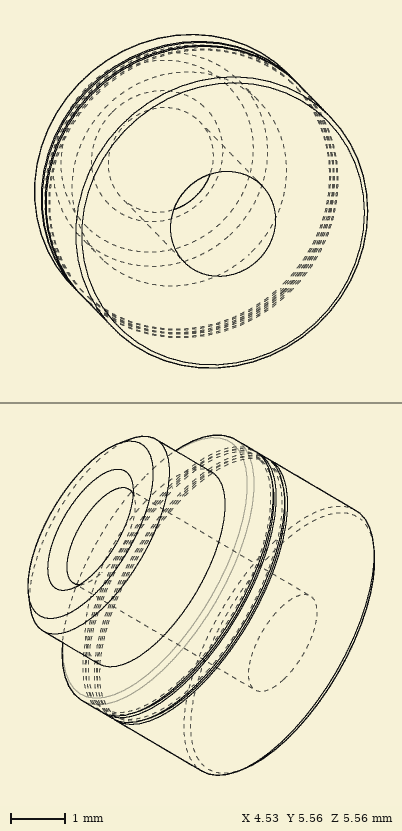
import cadquery as cq

total_length = 4.53
body_diameter = 5.56
spigot_diameter = 4.085
spigot_length = 1.525
spigot_chamfer = 0.21
front_edge_radius = 0.09
rear_edge_chamfer = 0.09

bore_diameter = 2.0
bore_mouth_diameter = 2.5
bore_mouth_depth = (bore_mouth_diameter - bore_diameter) / 2

groove_width = 0.07
groove_depth = 0.065
first_groove_offset = 0.54
groove_pitch = 0.265
groove_count = 2

body_length = total_length - spigot_length
front_x = -total_length / 2
body_front_x = front_x + spigot_length


def cylinder(start_x, length, diameter):
    """Solid cylinder along +X, starting at start_x."""
    return cq.Workplane("YZ", origin=(start_x, 0, 0)).circle(diameter / 2).extrude(length)


def make_body():
    body = cylinder(body_front_x, body_length, body_diameter)
    body = body.faces("<X").edges().fillet(front_edge_radius)
    return body.faces(">X").edges().chamfer(rear_edge_chamfer)


def make_spigot():
    spigot = cylinder(front_x, spigot_length, spigot_diameter)
    return spigot.faces("<X").edges().chamfer(spigot_chamfer)


def make_groove(start_x):
    """Ring that cuts a shallow groove around the body."""
    outer = cylinder(start_x, groove_width, body_diameter + 2 * groove_depth)
    return outer.cut(cylinder(start_x, groove_width, body_diameter - 2 * groove_depth))


def make_bore():
    """Through bore with a conical mouth at the spigot end."""
    mouth_profile = [
        (front_x, 0),
        (front_x, bore_mouth_diameter / 2),
        (front_x + bore_mouth_depth, bore_diameter / 2),
        (front_x + bore_mouth_depth, 0),
    ]
    mouth = cq.Workplane("XY").polyline(mouth_profile).close().revolve(360, (0, 0, 0), (1, 0, 0))
    return cylinder(front_x, total_length, bore_diameter).union(mouth)


result = make_body().union(make_spigot())
for groove_index in range(groove_count):
    groove_x = body_front_x + first_groove_offset + groove_index * groove_pitch
    result = result.cut(make_groove(groove_x))
result = result.cut(make_bore())